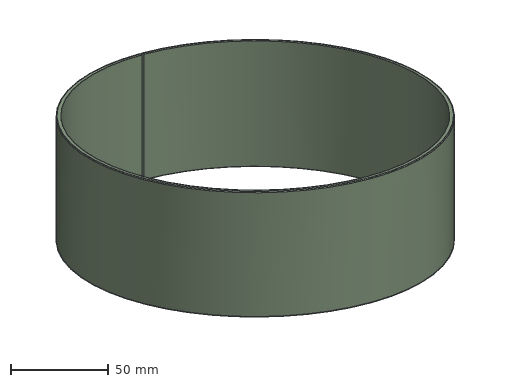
import cadquery as cq

outer_diameter = 205.0
height = 70.0
wall = 2.5
edge_chamfer = 0.5

slit_width = 1.2
slit_center_y = 1.0

outer_radius = outer_diameter / 2


def make_ring():
    """Thin-walled ring with both outer rims chamfered."""
    body = cq.Workplane("XY").circle(outer_radius).extrude(height)
    body = body.faces("<Z or >Z").chamfer(edge_chamfer)
    bore = cq.Workplane("XY").circle(outer_radius - wall).extrude(height)
    return body.cut(bore)


def make_slit():
    """Full-height block that parts the wall on the -X side only."""
    return (
        cq.Workplane("XY")
        .center(-outer_radius, slit_center_y)
        .rect(4 * wall, slit_width)
        .extrude(height)
    )


result = make_ring().cut(make_slit())